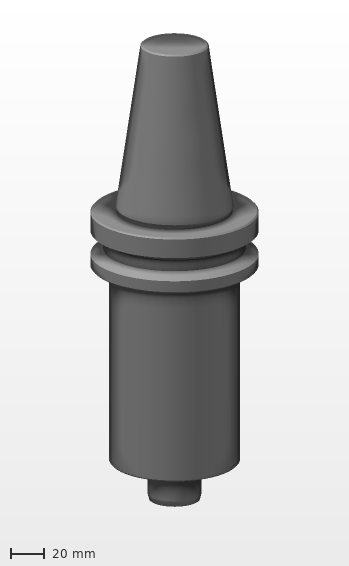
import cadquery as cq

total_height = 285.8
flange_diameter = 100.0
groove_diameter = 85.0
body_diameter = 78.0
neck_diameter = 80.3
pilot_diameter = 32.0

taper_ratio = 7 / 24
gauge_diameter = 70.0
relief_diameter = 69.2
taper_length = 101.7
taper_top_diameter = gauge_diameter - taper_ratio * taper_length

body_bottom = 24.0
neck_bottom = 143.5
flange_bottom = 146.3
lower_rim_top = 154.0
groove_bottom = 157.8
groove_top = 164.3
upper_rim_bottom = 168.5
flange_top = 181.2
relief_top = 182.5
gauge_height = total_height - taper_length

flange_chamfer = 1.0
body_chamfer = 1.0
top_chamfer = 1.0
pilot_chamfer_width = 1.0
pilot_chamfer_height = 3.5

flange_radius = flange_diameter / 2
groove_radius = groove_diameter / 2
body_radius = body_diameter / 2
neck_radius = neck_diameter / 2
pilot_radius = pilot_diameter / 2
gauge_radius = gauge_diameter / 2
relief_radius = relief_diameter / 2
taper_top_radius = taper_top_diameter / 2


def pilot_points():
    return [
        (0, 0),
        (pilot_radius - pilot_chamfer_width, 0),
        (pilot_radius, pilot_chamfer_height),
        (pilot_radius, body_bottom),
    ]


def body_points():
    return [
        (body_radius - body_chamfer, body_bottom),
        (body_radius, body_bottom + body_chamfer),
        (body_radius, neck_bottom),
        (neck_radius, flange_bottom),
    ]


def flange_points():
    """Two rims separated by a gripper groove with sloping walls."""
    return [
        (flange_radius - flange_chamfer, flange_bottom),
        (flange_radius, flange_bottom + flange_chamfer),
        (flange_radius, lower_rim_top),
        (groove_radius, groove_bottom),
        (groove_radius, groove_top),
        (flange_radius, upper_rim_bottom),
        (flange_radius, flange_top - flange_chamfer),
        (flange_radius - flange_chamfer, flange_top),
    ]


def taper_points():
    """Shallow relief above the flange, a lip at the gauge line, then the taper."""
    return [
        (relief_radius, flange_top),
        (relief_radius, relief_top),
        (gauge_radius, gauge_height),
        (taper_top_radius + taper_ratio / 2 * top_chamfer, total_height - top_chamfer),
        (taper_top_radius - top_chamfer, total_height),
        (0, total_height),
    ]


profile = pilot_points() + body_points() + flange_points() + taper_points()
result = cq.Workplane("XZ").polyline(profile).close().revolve(360, (0, 0, 0), (0, 1, 0))